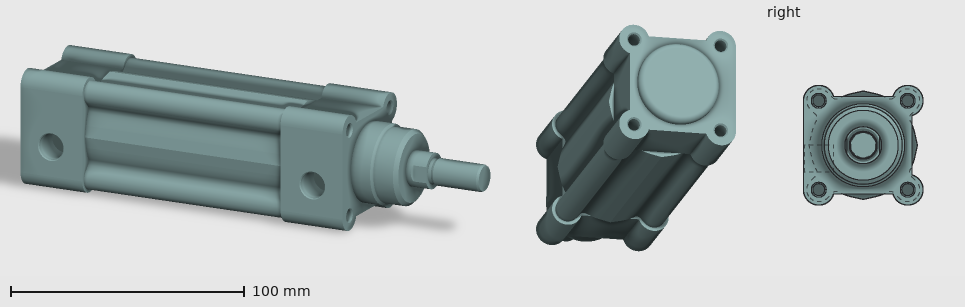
import cadquery as cq
import math


rear_cover_start = 4.0
cover_length = 29.7
front_cover_start = 128.9
nose_step_x = 168.8
nose_end = 180.0
overall_length = 213.7
rear_cover_end = rear_cover_start + cover_length
front_cover_end = front_cover_start + cover_length

cover_half_width = 25.6
bolt_offset = 19.0
cover_lobe_radius = cover_half_width - bolt_offset
cover_waist = 21.0
bolt_hole_radius = 2.5
bolt_mouth_chamfer = 0.6
bolt_hole_depth = 17.0
port_radius = 5.8
port_mouth_chamfer = 0.5
port_from_outer_face = 14.5
port_z = -5.8
port_depth = 12.8

boss_radius = 17.7
boss_fillet = 2.4
nose_radius = 16.7
nose_chamfer = 1.7

tube_lobe_radius = 5.1
barrel_radius = 22.7
facet_angle = math.radians(12.5)
valley_radius = 2.1

rod_radius = 8.0
rod_shoulder_x = 189.3
neck_start_radius = 5.8
neck_radius = 5.3
neck_bottom_x = 190.6
thread_start_x = 192.0
thread_radius = 6.0
thread_chamfer_length = 1.0
thread_chamfer_depth = 0.5
flat_offset = 7.0
flat_start_x = 183.1

bolt_centers = [(y, z) for y in (-bolt_offset, bolt_offset) for z in (-bolt_offset, bolt_offset)]


def plane_at(x):
    """YZ sketch plane at station x, with local x = Y and local y = Z."""
    return cq.Workplane("YZ", origin=(x, 0, 0))


def cover_block(start_x):
    """Square cover with four round corner lobes; its -Y side is flat across the lobes."""
    block = plane_at(start_x).rect(2 * cover_waist, 2 * cover_waist).extrude(cover_length)
    port_side = (
        plane_at(start_x)
        .center(-cover_half_width / 2, 0)
        .rect(cover_half_width, 2 * bolt_offset)
        .extrude(cover_length)
    )
    lobes = plane_at(start_x).pushPoints(bolt_centers).circle(cover_lobe_radius).extrude(cover_length)
    return block.union(port_side).union(lobes)


def bolt_holes(outer_x, inward):
    """Blind bolt holes with chamfered mouths; inward is +1 or -1 along X."""
    mouth_radius = bolt_hole_radius + bolt_mouth_chamfer
    profile = [
        (outer_x, 0),
        (outer_x, mouth_radius),
        (outer_x + inward * bolt_mouth_chamfer, bolt_hole_radius),
        (outer_x + inward * bolt_hole_depth, bolt_hole_radius),
        (outer_x + inward * bolt_hole_depth, 0),
    ]
    hole = cq.Workplane("XY").polyline(profile).close().revolve(360, (0, 0, 0), (1, 0, 0))
    holes = cq.Workplane("XY")
    for y, z in bolt_centers:
        holes = holes.union(hole.translate((0, y, z)))
    return holes


def port(x):
    """Blind air port with a chamfered mouth, bored into the flat -Y side."""
    mouth = cq.Workplane("XZ", origin=(x, -cover_half_width, port_z))
    bore = mouth.circle(port_radius).extrude(-port_depth)
    countersink = cq.Solid.makeCone(
        port_radius + port_mouth_chamfer,
        port_radius,
        port_mouth_chamfer,
        pnt=cq.Vector(x, -cover_half_width, port_z),
        dir=cq.Vector(0, 1, 0),
    )
    return bore.union(countersink)


def make_rear_cover():
    """Cover with a rounded locating boss on its outer face."""
    boss = plane_at(0).circle(boss_radius).extrude(rear_cover_start).faces("<X").edges().fillet(boss_fillet)
    cover = cover_block(rear_cover_start).union(boss)
    cover = cover.cut(bolt_holes(rear_cover_start, 1))
    return cover.cut(port(rear_cover_start + port_from_outer_face))


def make_front_cover():
    """Cover with a shoulder and a smaller chamfered nose on its outer face."""
    step_chamfer = boss_radius - nose_radius
    shoulder = plane_at(front_cover_end).circle(boss_radius).extrude(nose_step_x - front_cover_end)
    shoulder = shoulder.faces(">X").edges().chamfer(step_chamfer)
    nose = plane_at(nose_step_x).circle(nose_radius).extrude(nose_end - nose_step_x)
    nose = nose.faces(">X").edges().chamfer(nose_chamfer)
    cover = cover_block(front_cover_start).union(shoulder).union(nose)
    cover = cover.cut(bolt_holes(front_cover_end, -1))
    return cover.cut(port(front_cover_end - port_from_outer_face))


def polar(radius, angle):
    """Point at the given radius and angle about the cylinder axis."""
    return (radius * math.cos(angle), radius * math.sin(angle))


def diagonal_point(u, v, diagonal):
    """Point v along the direction at angle diagonal and u across it, u positive counterclockwise."""
    return (
        v * math.cos(diagonal) - u * math.sin(diagonal),
        v * math.sin(diagonal) + u * math.cos(diagonal),
    )


def make_tube():
    """Extruded tube profile: faceted round barrel, four corner lobes and filleted valleys.

    Each quarter is described about its corner diagonal (u across, v along the diagonal),
    which is its line of symmetry: the lobe neck is two lines parallel to it, tangent to the lobe.
    """
    quarter = math.pi / 2
    lobe_distance = bolt_offset * math.sqrt(2)
    valley_u = tube_lobe_radius + valley_radius
    valley_v = math.sqrt((barrel_radius + valley_radius) ** 2 - valley_u**2)
    valley_angle = math.atan2(valley_u, valley_v)
    valley_mid_angle = (valley_angle + math.pi + 3 * quarter) / 2
    valley_mid_u = valley_u + valley_radius * math.sin(valley_mid_angle)
    valley_mid_v = valley_v + valley_radius * math.cos(valley_mid_angle)
    barrel_touch_u = barrel_radius * math.sin(valley_angle)
    barrel_touch_v = barrel_radius * math.cos(valley_angle)
    peak_radius = barrel_radius / math.cos(facet_angle)
    barrel_mid_angle = (facet_angle + quarter / 2 - valley_angle) / 2

    profile = plane_at(rear_cover_end).moveTo(peak_radius, 0)
    for corner in range(4):
        start = corner * quarter
        diagonal = start + quarter / 2

        def at(u, v):
            return diagonal_point(u, v, diagonal)

        profile = (
            profile.lineTo(*polar(barrel_radius, start + facet_angle))
            .threePointArc(
                polar(barrel_radius, start + barrel_mid_angle),
                at(-barrel_touch_u, barrel_touch_v),
            )
            .threePointArc(at(-valley_mid_u, valley_mid_v), at(-tube_lobe_radius, valley_v))
            .lineTo(*at(-tube_lobe_radius, lobe_distance))
            .threePointArc(at(0, lobe_distance + tube_lobe_radius), at(tube_lobe_radius, lobe_distance))
            .lineTo(*at(tube_lobe_radius, valley_v))
            .threePointArc(at(valley_mid_u, valley_mid_v), at(barrel_touch_u, barrel_touch_v))
            .threePointArc(
                polar(barrel_radius, start + quarter - barrel_mid_angle),
                polar(barrel_radius, start + quarter - facet_angle),
            )
            .lineTo(*polar(peak_radius, start + quarter))
        )
    return profile.close().extrude(front_cover_start - rear_cover_end)


def make_rod():
    """Stepped rod end with a relief neck, a chamfered thread and two wrench flats on +/-Y."""
    profile = [
        (nose_end, 0),
        (nose_end, rod_radius),
        (rod_shoulder_x, rod_radius),
        (rod_shoulder_x, neck_start_radius),
        (neck_bottom_x, neck_radius),
        (thread_start_x, thread_radius),
        (overall_length - thread_chamfer_length, thread_radius),
        (overall_length, thread_radius - thread_chamfer_depth),
        (overall_length, 0),
    ]
    rod = cq.Workplane("XY").polyline(profile).close().revolve(360, (0, 0, 0), (1, 0, 0))
    run_out = rod_radius - flat_offset
    flat_cut = (
        cq.Workplane("XY")
        .polyline(
            [
                (flat_start_x, flat_offset),
                (flat_start_x - run_out, rod_radius),
                (rod_shoulder_x, rod_radius),
                (rod_shoulder_x, flat_offset),
            ]
        )
        .close()
        .extrude(rod_radius, both=True)
    )
    return rod.cut(flat_cut).cut(flat_cut.mirror("XZ"))


rear_cover = make_rear_cover()
tube = make_tube()
front_cover = make_front_cover()
rod = make_rod()

result = cq.Compound.makeCompound([rear_cover.val(), tube.val(), front_cover.val(), rod.val()])